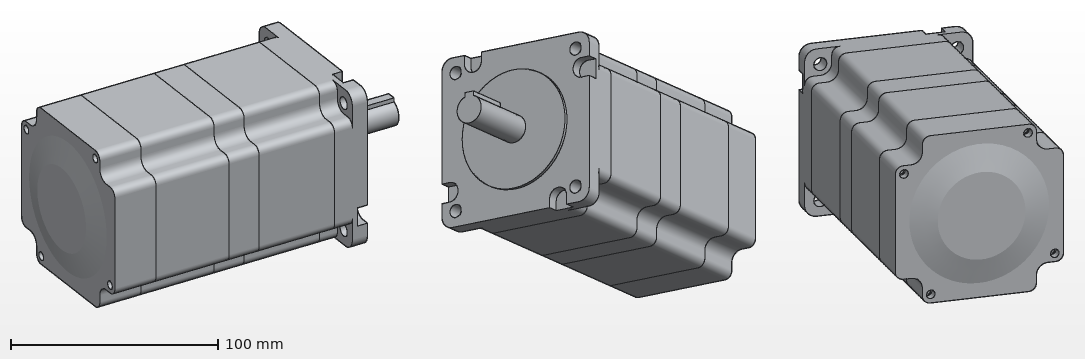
import cadquery as cq
import math


FRAME = 86.0
HALF = FRAME / 2
FLANGE_CORNER_RADIUS = 6.2

SHAFT_TIP_Y = 40.0
PILOT_HEIGHT = 1.7
LUG_THICKNESS = 8.6
FLANGE_LENGTH = 18.7
FRONT_STATOR_LENGTH = 42.8
MIDDLE_PLATE_LENGTH = 17.0
REAR_STATOR_LENGTH = 41.5
OVERALL_LENGTH = 186.9
DOME_HEIGHT = 3.5
CAP_LENGTH = (
    OVERALL_LENGTH - SHAFT_TIP_Y - DOME_HEIGHT
    - FLANGE_LENGTH - FRONT_STATOR_LENGTH - MIDDLE_PLATE_LENGTH - REAR_STATOR_LENGTH
)

MOUNT_HOLE_DIAMETER = 6.5
MOUNT_HOLE_OFFSET = 35.0
NOTCH_RADIUS = 5.8
NOTCH_EDGE_RADIUS = 4.1

SCREW_NEAR = 24.9
SCREW_FAR = 38.5
HEAD_SLOT_WIDTH = 9.9
HEAD_SLOT_DEPTH = 5.6
SCREW_HOLE_DIAMETER = 4.3
SCREW_HOLE_DEPTH = 4.7
SCREW_BORE_DIAMETER = 3.0
SCREW_BORE_DEPTH = 9.3

PILOT_DIAMETER = 60.0
SHAFT_DIAMETER = 14.0
KEY_WIDTH = 5.0
KEY_LENGTH = 24.9
KEY_TOP = 8.8

DOME_BASE_RADIUS = 35.7
DOME_FLAT_RADIUS = 22.5


def plane_at(y):
    """XZ plane at the given Y, with local X, Y along part X, Z and extrusion toward -Y."""
    return cq.Workplane("XZ", origin=(0, y, 0))


def notched_section(front_y, length):
    """Stretch of square frame with a rounded notch in each corner, running back from front_y."""
    notch_wall = MOUNT_HOLE_OFFSET - NOTCH_RADIUS
    side_end = notch_wall - NOTCH_EDGE_RADIUS
    edge_tangent = HALF - NOTCH_EDGE_RADIUS
    edge_middle = NOTCH_EDGE_RADIUS * math.sqrt(0.5)
    notch_middle = MOUNT_HOLE_OFFSET - NOTCH_RADIUS * math.sqrt(0.5)

    corner = [
        ("line", (HALF, side_end)),
        ("arc", (edge_tangent + edge_middle, side_end + edge_middle), (edge_tangent, notch_wall)),
        ("line", (MOUNT_HOLE_OFFSET, notch_wall)),
        ("arc", (notch_middle, notch_middle), (notch_wall, MOUNT_HOLE_OFFSET)),
        ("line", (notch_wall, edge_tangent)),
        ("arc", (side_end + edge_middle, edge_tangent + edge_middle), (side_end, HALF)),
    ]

    def turned(point, quarter):
        x, z = point
        for _ in range(quarter):
            x, z = -z, x
        return x, z

    outline = plane_at(front_y).moveTo(HALF, -side_end)
    for quarter in range(4):
        for kind, *points in corner:
            points = [turned(point, quarter) for point in points]
            if kind == "line":
                outline = outline.lineTo(*points[0])
            else:
                outline = outline.threePointArc(*points)
    return outline.close().extrude(length)


def screw_cutters(cutter):
    """The cutter, drawn for the upper right screw, turned to all four screw axes."""
    return [cutter.rotate((0, 0, 0), (0, 1, 0), 90 * turn) for turn in range(4)]


def make_flange():
    mount_holes = [(x, z) for x in (-MOUNT_HOLE_OFFSET, MOUNT_HOLE_OFFSET)
                   for z in (-MOUNT_HOLE_OFFSET, MOUNT_HOLE_OFFSET)]
    lug_plate = (
        plane_at(0).rect(FRAME, FRAME).extrude(LUG_THICKNESS)
        .edges("|Y").fillet(FLANGE_CORNER_RADIUS)
        .cut(plane_at(0).pushPoints(mount_holes).circle(MOUNT_HOLE_DIAMETER / 2).extrude(LUG_THICKNESS))
    )
    pilot = plane_at(PILOT_HEIGHT).circle(PILOT_DIAMETER / 2).extrude(PILOT_HEIGHT)
    neck = notched_section(-LUG_THICKNESS, FLANGE_LENGTH - LUG_THICKNESS)
    flange = lug_plate.union(neck).union(pilot)

    slot_bottom = plane_at(0).center(SCREW_NEAR, SCREW_FAR).circle(HEAD_SLOT_WIDTH / 2)
    slot_mouth = plane_at(0).center(SCREW_NEAR, SCREW_FAR + HEAD_SLOT_WIDTH / 2)
    head_slot = slot_bottom.extrude(HEAD_SLOT_DEPTH).union(
        slot_mouth.rect(HEAD_SLOT_WIDTH, HEAD_SLOT_WIDTH).extrude(HEAD_SLOT_DEPTH)
    )
    for slot in screw_cutters(head_slot):
        flange = flange.cut(slot)
    return flange


def make_rear_cap(front_y):
    rear_y = front_y - CAP_LENGTH
    cap = notched_section(front_y, CAP_LENGTH)

    dome = (
        cq.Workplane("XY")
        .moveTo(0, rear_y)
        .lineTo(DOME_BASE_RADIUS, rear_y)
        .lineTo(DOME_FLAT_RADIUS, rear_y - DOME_HEIGHT)
        .lineTo(0, rear_y - DOME_HEIGHT)
        .close()
        .revolve(360, (0, 0, 0), (0, 1, 0))
    )
    cap = cap.union(dome)

    mouth = plane_at(rear_y + SCREW_HOLE_DEPTH).center(SCREW_NEAR, SCREW_FAR).circle(SCREW_HOLE_DIAMETER / 2)
    bore = plane_at(rear_y + SCREW_BORE_DEPTH).center(SCREW_NEAR, SCREW_FAR).circle(SCREW_BORE_DIAMETER / 2)
    screw_hole = mouth.extrude(SCREW_HOLE_DEPTH).union(bore.extrude(SCREW_BORE_DEPTH))
    for hole in screw_cutters(screw_hole):
        cap = cap.cut(hole)
    return cap


def make_shaft():
    """Plain shaft standing on the pilot, with its key, round at the inner end, on the +Z side."""
    shaft = plane_at(SHAFT_TIP_Y).circle(SHAFT_DIAMETER / 2).extrude(SHAFT_TIP_Y - PILOT_HEIGHT)
    key_round_y = SHAFT_TIP_Y - KEY_LENGTH + KEY_WIDTH / 2
    key = (
        cq.Workplane("XY")
        .moveTo(-KEY_WIDTH / 2, SHAFT_TIP_Y)
        .lineTo(-KEY_WIDTH / 2, key_round_y)
        .threePointArc((0, SHAFT_TIP_Y - KEY_LENGTH), (KEY_WIDTH / 2, key_round_y))
        .lineTo(KEY_WIDTH / 2, SHAFT_TIP_Y)
        .close()
        .extrude(KEY_TOP)
    )
    return shaft.union(key)


front_stator_y = -FLANGE_LENGTH
middle_plate_y = front_stator_y - FRONT_STATOR_LENGTH
rear_stator_y = middle_plate_y - MIDDLE_PLATE_LENGTH
rear_cap_y = rear_stator_y - REAR_STATOR_LENGTH

shaft = make_shaft()
flange = make_flange()
front_stator = notched_section(front_stator_y, FRONT_STATOR_LENGTH)
middle_plate = notched_section(middle_plate_y, MIDDLE_PLATE_LENGTH)
rear_stator = notched_section(rear_stator_y, REAR_STATOR_LENGTH)
rear_cap = make_rear_cap(rear_cap_y)

result = cq.Compound.makeCompound([
    shaft.val(),
    flange.val(),
    front_stator.val(),
    middle_plate.val(),
    rear_stator.val(),
    rear_cap.val(),
])